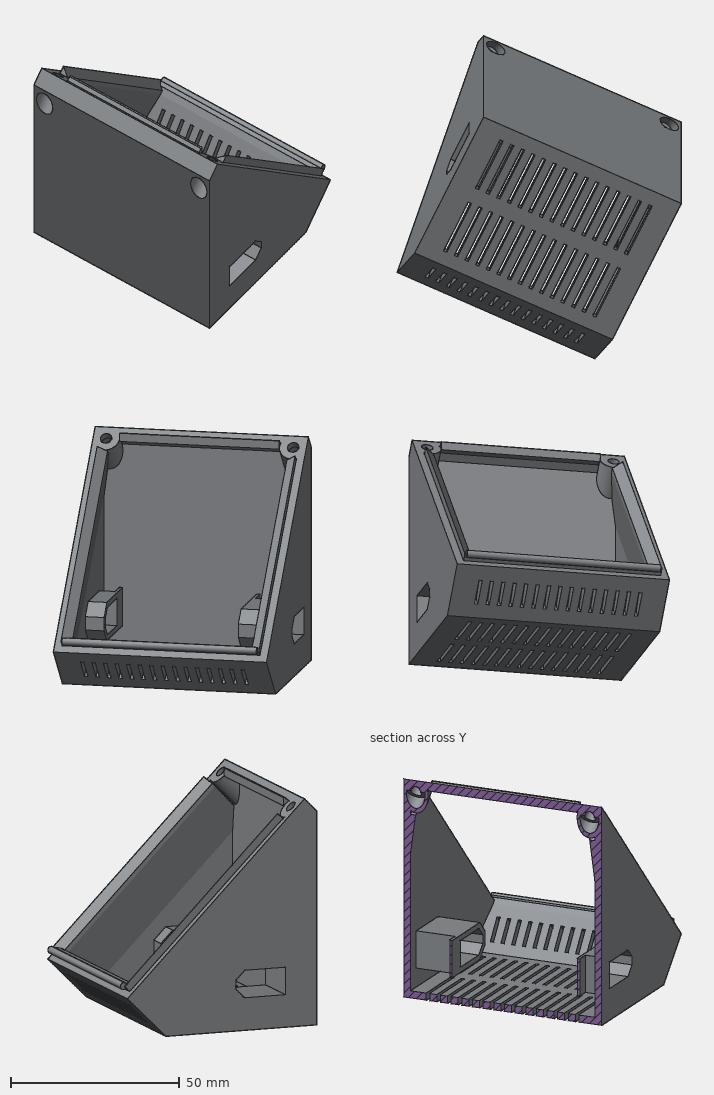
import cadquery as cq
import math

ROOT2 = math.sqrt(2)

width = 65.0
height = 68.9
top_chamfer = 3.9
rear_y = 60.5
slope_sum = top_chamfer + height
rear_z = slope_sum - rear_y
base_depth = rear_y - rear_z
slope_length = (rear_y - top_chamfer) * ROOT2

wall = 2.35
cavity_width = width - 2 * wall
opening_front_y = 5.8
floor_rear_y = base_depth + wall - wall * ROOT2
clearance = 3.45

side_frame = 5.2
rear_frame = 4.6
rail_height = 2.35
rail_start = 8.5
rail_end = slope_length - wall
rail_skirt = 1.4
taper_depth = (slope_sum - floor_rear_y - wall) / ROOT2
rear_rail_rise = 0.6

bar_diameter = 2.2
bar_length = 59.25
lip_length = 48.65
lip_tip_y = 7.4
lip_tip_z = 67.9
lip_tip_width = 0.55

screw_x = 28.5
screw_y = 6.75
screw_diameter = 3.4
head_diameter = 6.0
boss_diameter = 8.3
shoulder_depth = 2.5
boss_length = 13.8

window_front_y = 10.05
window_rear_y = 25.8
window_bottom_z = 9.9
window_top_z = 18.25
window_chamfer = 2.8
sleeve_wall = 1.65
left_sleeve_length = 13.7
right_sleeve_length = 5.7
plate_thickness = 0.95

slot_count = 15
slot_span = 49.0
slot_pitch = slot_span / (slot_count - 1)
slot_width = 1.0
floor_slot_length = 17.15
floor_slot_rear_ys = (43.8, 21.7)
rear_slot_start = 4.6
rear_slot_length = 7.8


def slab(points, x_start, x_end):
    """Extrude a Y-Z outline from x_start to x_end."""
    plane = cq.Workplane("YZ", origin=(x_start, 0, 0))
    return plane.polyline(points).close().extrude(x_end - x_start)


def centred_slab(points, length):
    return slab(points, -length / 2, length / 2)


def slope_point(distance, rise):
    """(Y, Z) of a point at a distance down the slope and a rise above it."""
    y = top_chamfer + (distance + rise) / ROOT2
    z = height + (rise - distance) / ROOT2
    return (y, z)


def make_outline():
    return centred_slab(
        [
            (0, 0),
            (base_depth, 0),
            (rear_y, rear_z),
            (top_chamfer, height),
            (0, height - top_chamfer),
        ],
        width,
    )


def make_cavity():
    opening_front_z = slope_sum - opening_front_y
    return centred_slab(
        [
            (wall, wall),
            (floor_rear_y, wall),
            slope_point(rail_end, 0),
            slope_point(rail_end, clearance),
            (opening_front_y + clearance, opening_front_z + clearance),
            (opening_front_y, opening_front_z),
            (wall, opening_front_z - opening_front_y + wall),
        ],
        cavity_width,
    )


def make_rear_rail():
    knee_y, knee_z = slope_point(slope_length - rear_frame, -rail_skirt)
    bar_y, bar_z = slope_point(rail_end, rail_height)
    top_z = bar_z + rear_rail_rise
    return centred_slab(
        [
            (floor_rear_y, wall),
            (bar_y, bar_z),
            (bar_y, top_z),
            (knee_y + top_z - knee_z, top_z),
            (knee_y, knee_z),
        ],
        bar_length,
    )


def make_side_rail(side):
    outer_x = side * cavity_width / 2
    inner_x = side * (width / 2 - side_frame)
    start_y, start_z = slope_point(rail_start, 0)
    plane = cq.Plane(
        origin=(0, start_y, start_z),
        xDir=(1, 0, 0),
        normal=(0, 1, -1),
    )
    section = [
        (outer_x, -rail_height),
        (inner_x, 0),
        (inner_x, rail_skirt),
        (outer_x, taper_depth),
    ]
    rail = cq.Workplane(plane).polyline(section).close().extrude(rail_end - rail_start)
    behind_front = cq.Workplane("XY").box(width, height, height, centered=(True, False, False))
    return rail.intersect(behind_front)


def make_bar():
    y, z = slope_point(rail_end, rail_height)
    bar = cq.Workplane("YZ", origin=(-bar_length / 2, y, z))
    return bar.circle(bar_diameter / 2).extrude(bar_length)


def make_lip():
    overhang = lip_tip_y - opening_front_y
    root_z = slope_sum - opening_front_y
    underside_z = root_z - overhang
    return centred_slab(
        [
            (opening_front_y - overhang, underside_z),
            (opening_front_y, root_z),
            (lip_tip_y - lip_tip_width, lip_tip_z),
            (lip_tip_y, lip_tip_z),
            (lip_tip_y, underside_z),
        ],
        lip_length,
    )


def screw_cylinder(side, diameter, depth):
    """Cylinder on a screw axis, running inward from a depth below the slope."""
    plane = cq.Plane(
        origin=(side * screw_x, screw_y, slope_sum - screw_y),
        xDir=(1, 0, 0),
        normal=(0, -1, -1),
    )
    return cq.Workplane(plane).workplane(offset=depth).circle(diameter / 2).extrude(boss_length)


def window_outline(offset=0.0, front_y=window_front_y):
    """Window outline, grown outward by an offset."""
    front = front_y - offset
    rear = window_rear_y + offset
    bottom = window_bottom_z - offset
    top = window_top_z + offset
    chamfer = window_chamfer + offset * (2 - ROOT2)
    return [
        (front, bottom),
        (rear - chamfer, bottom),
        (rear, bottom + chamfer),
        (rear, top - chamfer),
        (rear - chamfer, top),
        (front, top),
    ]


def make_sleeve(side, length):
    """Sleeve around a window, closed off to the front wall by an end plate."""
    wall_x = side * cavity_width / 2
    end_x = wall_x - side * length
    plate_x = end_x + side * plate_thickness
    tube = slab(window_outline(sleeve_wall), wall_x, end_x)
    plate = slab(window_outline(sleeve_wall, wall + sleeve_wall), plate_x, end_x)
    return tube.union(plate)


def make_slot_column():
    """The rear-wall slot and the two floor slots at X = 0."""
    rear_plane = cq.Plane(
        origin=(0, base_depth, 0),
        xDir=(1, 0, 0),
        normal=(0, -1, 1),
    )
    column = (
        cq.Workplane(rear_plane)
        .center(0, rear_slot_start + rear_slot_length / 2)
        .rect(slot_width, rear_slot_length)
        .extrude(rear_frame)
    )
    for slot_rear_y in floor_slot_rear_ys:
        floor_slot = (
            cq.Workplane("XY")
            .center(0, slot_rear_y - floor_slot_length / 2)
            .rect(slot_width, floor_slot_length)
            .extrude(wall)
        )
        column = column.union(floor_slot)
    return column


outline = make_outline()
result = outline.cut(make_cavity()).union(make_rear_rail())
for side, sleeve_length in ((-1, left_sleeve_length), (1, right_sleeve_length)):
    result = result.union(make_side_rail(side))
    result = result.union(make_sleeve(side, sleeve_length))
    result = result.union(screw_cylinder(side, boss_diameter, 0).intersect(outline))
result = result.union(make_bar()).union(make_lip())

slot_column = make_slot_column()
for i in range(slot_count):
    slot_x = (i - (slot_count - 1) / 2) * slot_pitch
    result = result.cut(slot_column.translate((slot_x, 0, 0)))
result = result.cut(centred_slab(window_outline(), width))
for side in (-1, 1):
    result = result.cut(screw_cylinder(side, screw_diameter, 0))
    result = result.cut(screw_cylinder(side, head_diameter, shoulder_depth))